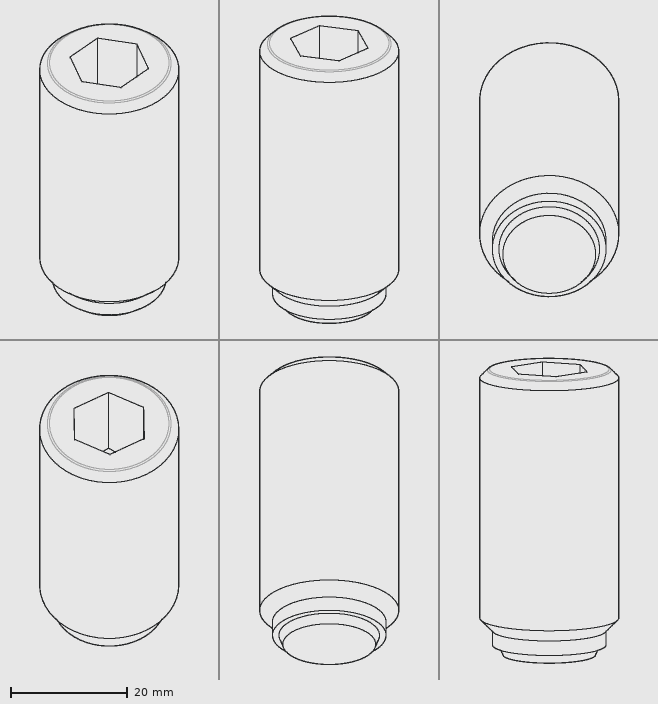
import cadquery as cq
import math

total_length = 50.0
body_diameter = 24.0
body_radius = body_diameter / 2

top_chamfer = 1.5
top_edge_fillet = 0.5

neck_diameter = 19.6
neck_radius = neck_diameter / 2
neck_bottom_z = 1.7
neck_length = 2.55
neck_top_z = neck_bottom_z + neck_length
body_bottom_z = neck_top_z + body_radius - neck_radius

ball_diameter = 18.0
ball_radius = ball_diameter / 2
flat_diameter = 16.0
ball_center_z = math.sqrt(ball_radius**2 - (flat_diameter / 2) ** 2)

hex_across_flats = 12.0
hex_across_corners = hex_across_flats / math.cos(math.radians(30))
hex_depth = 15.0
socket_cone_angle = 120.0
socket_cone_radius = hex_across_corners / 2
socket_cone_depth = socket_cone_radius / math.tan(math.radians(socket_cone_angle / 2))


def make_ball():
    """Sphere cut flat at its lower end."""
    sphere = cq.Workplane("XY").sphere(ball_radius).translate((0, 0, ball_center_z))
    keep_block = cq.Workplane("XY").box(
        ball_diameter, ball_diameter, total_length, centered=(True, True, False)
    )
    return sphere.intersect(keep_block)


def make_blank():
    """Turned outside shape of the screw."""
    blank = (
        cq.Workplane("XZ")
        .moveTo(0, neck_bottom_z)
        .lineTo(neck_radius, neck_bottom_z)
        .lineTo(neck_radius, neck_top_z)
        .lineTo(body_radius, body_bottom_z)
        .lineTo(body_radius, total_length - top_chamfer)
        .lineTo(body_radius - top_chamfer, total_length)
        .lineTo(0, total_length)
        .close()
        .revolve(360, (0, 0, 0), (0, 1, 0))
    )
    return blank.faces(">Z").edges().fillet(top_edge_fillet)


def make_hex_socket():
    """Hexagonal prism ending in a cone limited to the hexagon outline."""
    hexagon = (
        cq.Workplane("XY")
        .workplane(offset=total_length)
        .polygon(6, hex_across_corners)
        .extrude(-hex_depth - socket_cone_depth)
    )
    floor_z = total_length - hex_depth
    pointed_cylinder = (
        cq.Workplane("XZ")
        .moveTo(0, floor_z - socket_cone_depth)
        .lineTo(socket_cone_radius, floor_z)
        .lineTo(body_radius, floor_z)
        .lineTo(body_radius, total_length)
        .lineTo(0, total_length)
        .close()
        .revolve(360, (0, 0, 0), (0, 1, 0))
    )
    return hexagon.intersect(pointed_cylinder)


def make_screw(ball):
    """Screw with the hexagon socket on top and a seat matching the ball below."""
    return make_blank().cut(make_hex_socket()).cut(ball)


thrust_ball = make_ball()
screw = make_screw(thrust_ball)

result = cq.Compound.makeCompound([screw.solids().val(), thrust_ball.solids().val()])